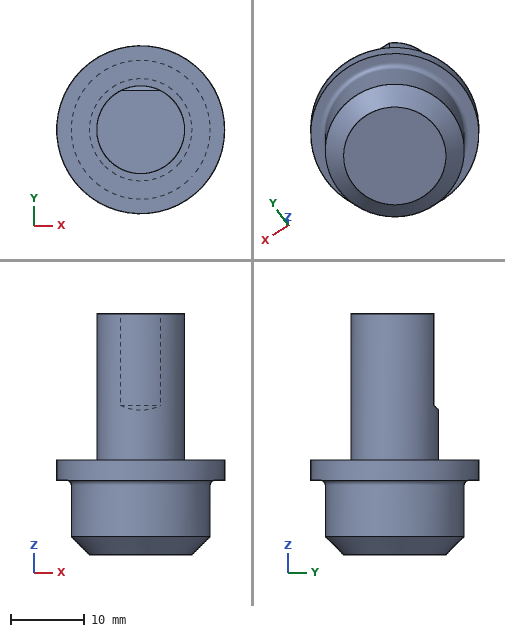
import cadquery as cq

total_height = 33.0
shaft_length = 20.0
flange_thickness = 2.8
base_height = total_height - shaft_length

flange_diameter = 23.0
plug_diameter = 19.0
plug_length = base_height - flange_thickness
lead_in_chamfer = 2.5
flange_fillet = 0.7

shaft_diameter = 12.0
flat_depth = 0.65
flat_length = 12.55


def make_base():
    """Plug and flange, with a fillet under the flange and a chamfered lower end."""
    plug = cq.Workplane("XY").circle(plug_diameter / 2).extrude(plug_length)
    plug = plug.faces("<Z").chamfer(lead_in_chamfer)
    flange = (
        cq.Workplane("XY")
        .workplane(offset=plug_length)
        .circle(flange_diameter / 2)
        .extrude(flange_thickness)
    )
    inner_corner = cq.selectors.RadiusNthSelector(1)
    return plug.union(flange).edges(inner_corner).edges(">Z").fillet(flange_fillet)


def make_flat_cutter():
    """Prism that cuts the flat, with a 45 degree run-out at its lower end."""
    shaft_radius = shaft_diameter / 2
    flat_y = shaft_radius - flat_depth
    flat_end_z = total_height - flat_length
    return (
        cq.Workplane("YZ")
        .moveTo(flat_y, total_height)
        .lineTo(flat_y, flat_end_z)
        .lineTo(shaft_radius, flat_end_z - flat_depth)
        .lineTo(shaft_radius, total_height)
        .close()
        .extrude(shaft_radius, both=True)
    )


def make_shaft():
    """Post standing on the flange, relieved by the flat."""
    post = (
        cq.Workplane("XY")
        .workplane(offset=base_height)
        .circle(shaft_diameter / 2)
        .extrude(shaft_length)
    )
    return post.cut(make_flat_cutter())


base = make_base()
shaft = make_shaft()

result = cq.Compound.makeCompound([base.val(), shaft.val()])